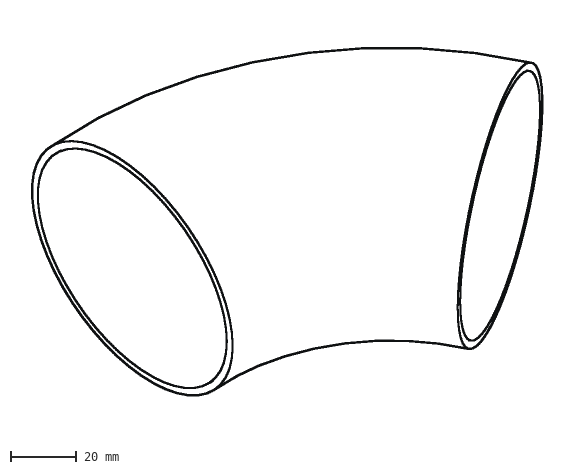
import cadquery as cq

outer_diameter = 88.9
wall_thickness = 2.6
bend_radius = 114.5
bend_angle = 60.0

outer_radius = outer_diameter / 2
inner_radius = outer_radius - wall_thickness


def make_elbow():
    """Sweep the tube's ring section around the vertical bend axis at X = bend_radius."""
    section = cq.Workplane("XZ").circle(outer_radius).circle(inner_radius)
    return section.revolve(bend_angle, (bend_radius, 0), (bend_radius, -1))


result = make_elbow()